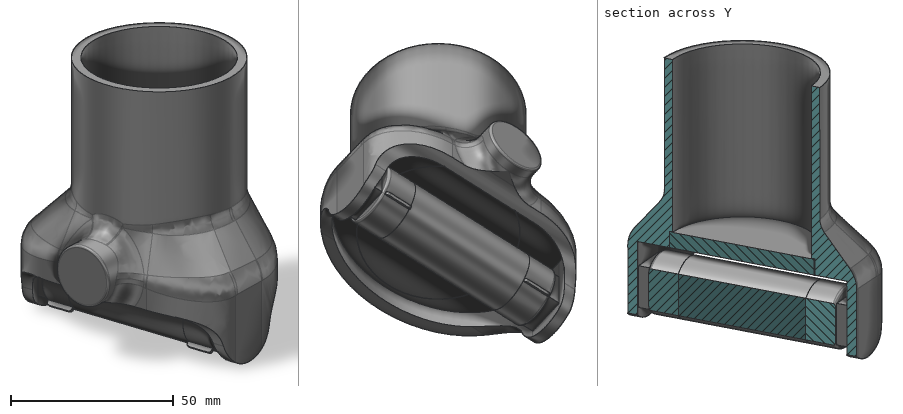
import cadquery as cq
import math

TUBE_TOP = 89.05
TUBE_OUTER_R = 54.0 / 2
TUBE_BORE_R = 48.0 / 2

HOOD_HALF_WIDTH = 39.7
HOOD_REAR_Y = 29.7
HOOD_FRONT_Y = -29.4
SIDE_REAR_Y = -0.5
SIDE_FRONT_Y = -13.9
FRONT_HALF_WIDTH = 17.1
WALL = 3.6

RIM_Z = 19.3
SHOULDER_Z = 28.4
NECK_Z = 43.3
SHOULDER_FILLET = 9.8
NECK_FILLET = 6.2

NECK_SIDE_REAR_Y = 1.4
NECK_SIDE_FRONT_Y = -7.8
NECK_FRONT_HALF_WIDTH = 14.7

EAR_R = 11.75
EAR_BLEND_R = 13.9
AXIS_Y = (SIDE_REAR_Y + SIDE_FRONT_Y) / 2
AXIS_Z = EAR_R

KNOB_R = 20.0 / 2
OVERALL_DEPTH = 69.0
KNOB_FRONT_Y = HOOD_REAR_Y - OVERALL_DEPTH
KNOB_Z = RIM_Z + KNOB_R
KNOB_FACE_R = 18.6 / 2
KNOB_EDGE_FILLET = KNOB_R - KNOB_FACE_R
KNOB_ROOT_FILLET = 6.2

PLUG_R = 50.0 / 2
PLUG_SEAT_R = 50.2 / 2
PLUG_BOTTOM_Z = 26.7
PLUG_TOP_Z = 32.1

ROLLER_R = 10.1
ROLLER_HALF_LENGTH = 22.1
CAP_END_X = 32.4
CAP_FILLET = 0.9
FIN_TIP_R = 11.7
FIN_THICKNESS = 0.9
FIN_CORNER = 1.1
FIN_ANGLE = 45.0
BLOCK_HEIGHT = 13.7

TOL = 0.2


def point(x, y, z):
    return cq.Vector(x, y, z)


def ellipse_arc(center, semi_x, semi_y, start, end):
    """Horizontal elliptical edge, counter-clockwise from `start` to `end` degrees."""
    return cq.Edge.makeEllipse(semi_x, semi_y, center, cq.Vector(0, 0, 1), cq.Vector(1, 0, 0), start, end)


def hood_outline(z, inset=0.0):
    """Plan outline of the hood at height z, moved inward by `inset`."""
    side_x = HOOD_HALF_WIDTH - inset
    front_y = HOOD_FRONT_Y + inset
    rear_depth = HOOD_REAR_Y - inset - SIDE_REAR_Y
    corner_width = side_x - FRONT_HALF_WIDTH
    corner_depth = SIDE_FRONT_Y - front_y
    left_corner = point(-FRONT_HALF_WIDTH, SIDE_FRONT_Y, z)
    right_corner = point(FRONT_HALF_WIDTH, SIDE_FRONT_Y, z)
    return cq.Wire.assembleEdges(
        [
            ellipse_arc(point(0, SIDE_REAR_Y, z), side_x, rear_depth, 0, 180),
            cq.Edge.makeLine(point(-side_x, SIDE_REAR_Y, z), point(-side_x, SIDE_FRONT_Y, z)),
            ellipse_arc(left_corner, corner_width, corner_depth, 180, 270),
            cq.Edge.makeLine(point(-FRONT_HALF_WIDTH, front_y, z), point(FRONT_HALF_WIDTH, front_y, z)),
            ellipse_arc(right_corner, corner_width, corner_depth, 270, 360),
            cq.Edge.makeLine(point(side_x, SIDE_FRONT_Y, z), point(side_x, SIDE_REAR_Y, z)),
        ]
    )


def neck_outline(z):
    """Tube circle split into six arcs, one for each edge of the hood outline."""
    side_rear = math.asin(NECK_SIDE_REAR_Y / TUBE_OUTER_R)
    side_front = math.asin(NECK_SIDE_FRONT_Y / TUBE_OUTER_R)
    front = -math.acos(NECK_FRONT_HALF_WIDTH / TUBE_OUTER_R)
    left_angles = [math.pi - side_rear, math.pi - side_front, math.pi - front]
    right_angles = [2 * math.pi + front, 2 * math.pi + side_front, 2 * math.pi + side_rear]
    angles = [side_rear] + left_angles + right_angles

    def on_circle(angle):
        return point(TUBE_OUTER_R * math.cos(angle), TUBE_OUTER_R * math.sin(angle), z)

    arcs = [
        cq.Edge.makeThreePointArc(on_circle(start), on_circle((start + end) / 2), on_circle(end))
        for start, end in zip(angles, angles[1:])
    ]
    return cq.Wire.assembleEdges(arcs)


def prism(outline, height):
    return cq.Workplane(obj=cq.Solid.extrudeLinear(outline, [], cq.Vector(0, 0, height)))


def cylinder(radius, bottom_z, top_z):
    return cq.Workplane(origin=(0, 0, bottom_z)).circle(radius).extrude(top_z - bottom_z)


def edges_at_height(z):
    """Selector for the edges that lie in the horizontal plane at height z."""
    reach = HOOD_HALF_WIDTH + 0.9
    return cq.selectors.BoxSelector((-reach, -reach, z - TOL), (reach, reach, z + TOL), boundingbox=True)


def hood_and_tube():
    """Solid outer shape of the tube, flaring out into the hood below it."""
    walls = prism(hood_outline(0), SHOULDER_Z)
    flare = cq.Solid.makeLoft([hood_outline(SHOULDER_Z), neck_outline(NECK_Z)], True)
    tube = cylinder(TUBE_OUTER_R, NECK_Z, TUBE_TOP)
    body = walls.union(cq.Workplane(obj=flare)).union(tube)
    body = body.edges(edges_at_height(SHOULDER_Z)).fillet(SHOULDER_FILLET)
    return body.edges(edges_at_height(NECK_Z)).fillet(NECK_FILLET)


def add_knob(body):
    """Round knob on the front, blended into the hood at its root and rounded at its face."""
    knob = cq.Workplane("XZ", origin=(0, 0, KNOB_Z)).circle(KNOB_R).extrude(-KNOB_FRONT_Y)
    body = body.union(knob)
    reach = KNOB_R + TOL
    root_edges = cq.selectors.BoxSelector(
        (-reach, HOOD_FRONT_Y - TOL, KNOB_Z - reach), (reach, 0, KNOB_Z + reach), boundingbox=True
    )
    body = body.edges(root_edges).fillet(KNOB_ROOT_FILLET)
    return body.faces("<Y").edges().fillet(KNOB_EDGE_FILLET)


def ear_profile_cut():
    """Everything below the rim, except the two ears that hang down around the roller axis."""
    blend_z = RIM_Z - EAR_BLEND_R
    center_distance = EAR_R + EAR_BLEND_R
    blend_offset = math.sqrt(center_distance**2 - (blend_z - AXIS_Z) ** 2)
    tangent_share = EAR_R / center_distance
    tangent_offset = blend_offset * tangent_share
    tangent_z = AXIS_Z + (blend_z - AXIS_Z) * tangent_share
    blend_mid_angle = (math.pi / 2 + math.atan2(tangent_z - blend_z, tangent_offset - blend_offset)) / 2
    mid_offset = blend_offset + EAR_BLEND_R * math.cos(blend_mid_angle)
    mid_z = blend_z + EAR_BLEND_R * math.sin(blend_mid_angle)
    reach = 89.05

    below_rim = (
        cq.Workplane("YZ", origin=(-reach, 0, 0))
        .moveTo(-reach, RIM_Z)
        .lineTo(AXIS_Y - blend_offset, RIM_Z)
        .threePointArc((AXIS_Y - mid_offset, mid_z), (AXIS_Y - tangent_offset, tangent_z))
        .threePointArc((AXIS_Y, 0), (AXIS_Y + tangent_offset, tangent_z))
        .threePointArc((AXIS_Y + mid_offset, mid_z), (AXIS_Y + blend_offset, RIM_Z))
        .lineTo(reach, RIM_Z)
        .lineTo(reach, -reach)
        .lineTo(-reach, -reach)
        .close()
    )
    return below_rim.extrude(2 * reach)


def make_housing():
    cavity = prism(hood_outline(0, WALL), PLUG_BOTTOM_Z)
    plug_seat = cylinder(PLUG_SEAT_R, PLUG_BOTTOM_Z, PLUG_TOP_Z)
    bore = cylinder(TUBE_BORE_R, PLUG_TOP_Z, TUBE_TOP)
    body = add_knob(hood_and_tube())
    return body.cut(cavity).cut(plug_seat).cut(bore).cut(ear_profile_cut())


def make_plug():
    return cylinder(PLUG_R, PLUG_BOTTOM_Z, PLUG_TOP_Z)


def axis_plane(x):
    """Workplane across the roller axis; its X runs along +Y and its Y along +Z."""
    return cq.Workplane("YZ", origin=(x, AXIS_Y, AXIS_Z))


def make_roller():
    return axis_plane(-ROLLER_HALF_LENGTH).circle(ROLLER_R).extrude(2 * ROLLER_HALF_LENGTH)


def make_cap(side):
    """End cap with one radial fin; side is 1 for the +X end and -1 for the -X end."""
    barrel = axis_plane(side * ROLLER_HALF_LENGTH).circle(ROLLER_R)
    barrel = barrel.extrude(side * (CAP_END_X - ROLLER_HALF_LENGTH))
    barrel = barrel.faces(">X" if side > 0 else "<X").edges().fillet(CAP_FILLET)

    fin_length = CAP_END_X - CAP_FILLET - ROLLER_HALF_LENGTH
    fin = cq.Workplane().box(fin_length, FIN_TIP_R, FIN_THICKNESS, centered=(True, False, True))
    fin = fin.faces(">Y").edges("|Z").fillet(FIN_CORNER)
    fin = fin.rotate((0, 0, 0), (1, 0, 0), 180 + FIN_ANGLE)
    fin = fin.translate((side * (ROLLER_HALF_LENGTH + fin_length / 2), AXIS_Y, AXIS_Z))
    return barrel.union(fin)


def make_block(side):
    """Bearing block between an end cap and the flat inner face of an ear."""
    thickness = HOOD_HALF_WIDTH - WALL - CAP_END_X
    block = axis_plane(side * CAP_END_X).rect(SIDE_REAR_Y - SIDE_FRONT_Y, BLOCK_HEIGHT)
    return block.extrude(side * thickness)


housing = make_housing()
plug = make_plug()
roller = make_roller()
caps = [make_cap(side) for side in (-1, 1)]
blocks = [make_block(side) for side in (-1, 1)]

result = cq.Compound.makeCompound(
    [
        housing.val(),
        plug.val(),
        roller.val(),
        *[cap.val() for cap in caps],
        *[block.val() for block in blocks],
    ]
)